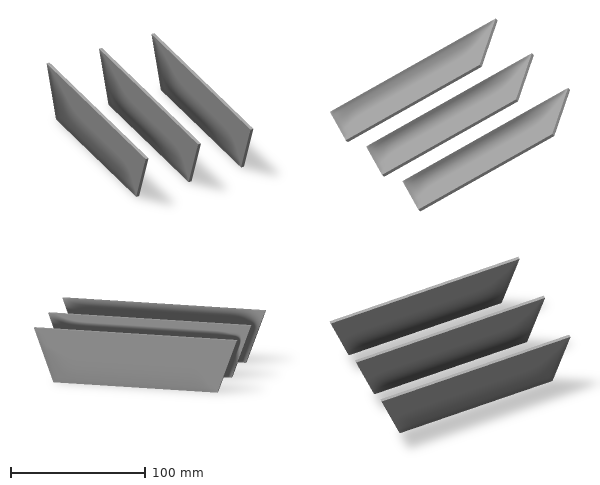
import cadquery as cq
import math

top_length = 155.5
height = 40.9
end_slope = 20.0
thickness = 2.5
overall_depth = 91.1
plate_count = 3

pitch = (overall_depth - thickness) / (plate_count - 1)
end_inset = height * math.tan(math.radians(end_slope))
half_top = top_length / 2
half_bottom = half_top - end_inset


def make_plate(center_y):
    """Upright trapezoidal plate, wider at the top, centred at the given Y."""
    outline = [
        (-half_bottom, -height / 2),
        (half_bottom, -height / 2),
        (half_top, height / 2),
        (-half_top, height / 2),
    ]
    return (
        cq.Workplane("XZ", origin=(0, center_y, 0))
        .polyline(outline)
        .close()
        .extrude(thickness / 2, both=True)
    )


first_y = -pitch * (plate_count - 1) / 2
plates = [make_plate(first_y + i * pitch) for i in range(plate_count)]

result = cq.Compound.makeCompound([plate.val() for plate in plates])